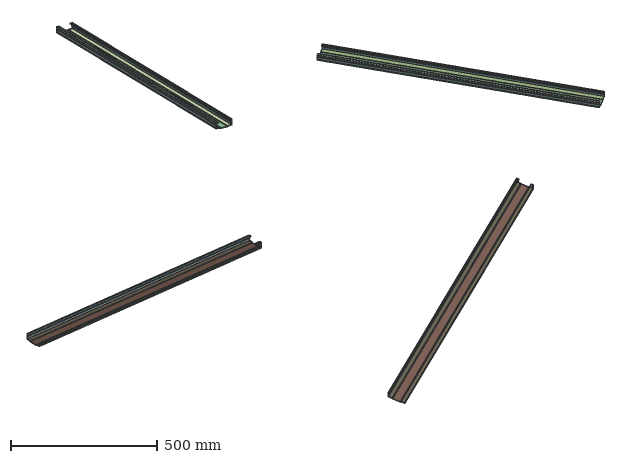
import cadquery as cq

length = 1000.0
width = 65.0
height = 25.0

wall = 2.2
lip_width = 10.0
lip_thickness = 2.5

side_rise = 3.0
side_drop = 1.2
middle_half_width = 14.0
step_overlap = 3.0

bead_depth = 1.0
bead_height = 2.0
bead_bottom = 14.0

half_width = width / 2
inner_half_width = half_width - wall
lip_edge = half_width - lip_width
lip_bottom = height - lip_thickness
step_outer = middle_half_width + step_overlap
floor_slope = side_drop / (half_width - middle_half_width)


def side_strip_bottom(y):
    """Height of the underside of the sloping side strip at distance y from the middle."""
    return side_rise - floor_slope * (half_width - y)


def side_strip_top(y):
    """Height of the upper face of the sloping side strip at distance y from the middle."""
    return side_strip_bottom(y) + wall


outer_points = [
    (0, 0),
    (step_outer, 0),
    (step_outer, side_strip_bottom(step_outer)),
    (half_width, side_rise),
    (half_width, height),
    (lip_edge, height),
    (lip_edge, lip_bottom),
    (inner_half_width, lip_bottom),
]
bead_points = [
    (inner_half_width, bead_bottom + bead_height),
    (inner_half_width - bead_depth, bead_bottom + bead_height),
    (inner_half_width - bead_depth, bead_bottom),
    (inner_half_width, bead_bottom),
]
floor_points = [
    (inner_half_width, side_strip_top(inner_half_width)),
    (middle_half_width, side_strip_top(middle_half_width)),
    (middle_half_width, wall),
    (0, wall),
]

half_channel = (
    cq.Workplane("YZ")
    .polyline(outer_points + bead_points + floor_points)
    .close()
    .extrude(length / 2, both=True)
)

result = half_channel.union(half_channel.mirror("XZ")).clean()